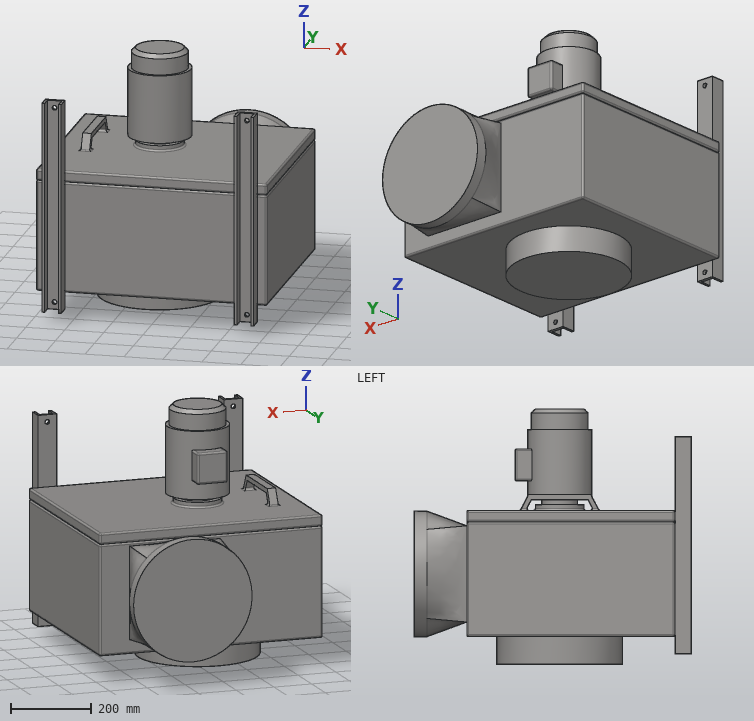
import cadquery as cq
import math

BOX_X = 592.0
BOX_Y = 520.0
BOX_Z = 315.0
BOX_LEFT = -248.5
BOX_FRONT = -288.0
LID_HEIGHT = 29.0
EDGE_RADIUS = 5.0

BOX_RIGHT = BOX_LEFT + BOX_X
BOX_BACK = BOX_FRONT + BOX_Y
MID_X = (BOX_LEFT + BOX_RIGHT) / 2
MID_Y = (BOX_FRONT + BOX_BACK) / 2

DUCT_RADIUS = 157.0
INLET_LENGTH = 69.0
OUTLET_X = 143.0
OUTLET_Z = 156.5
OUTLET_SQUARE = 240.0
TRANSITION_LENGTH = 99.5
OUTLET_LENGTH = 32.0

FLANGE_RADIUS = 61.0
FLANGE_TOP = 14.5
NECK_RADIUS = 45.0
NECK_TOP = 26.0
MOTOR_RADIUS = 80.0
MOTOR_TOP = 201.5
COWL_RADIUS = 71.0
COWL_TOP = 253.0
COWL_CHAMFER = 10.5

TERMINAL_SIZE = 80.0
TERMINAL_BACK = 111.5
TERMINAL_Z = BOX_Z + 113.5
TERMINAL_RADIUS = 5.0

HANDLE_X = -168.0
HANDLE_WIDTH = 22.0
HANDLE_HEIGHT = 40.0
HANDLE_BAR = 12.5
HANDLE_TOP_LENGTH = 155.0
HANDLE_FOOT_SPAN = 196.5

LID_JOINT_RADIUS = 5.0

RAIL_WIDTH = 50.0
RAIL_DEPTH = 41.0
RAIL_FLANGE = 7.0
RAIL_WEB = 9.0
RAIL_BOTTOM = -43.0
RAIL_LENGTH = 542.0
RAIL_INSET = 24.0
RAIL_HOLE_DIAMETER = 12.0
RAIL_HOLE_INSET = 19.0
RAIL_OFFSET = BOX_X / 2 - RAIL_INSET - RAIL_WIDTH / 2


def rounded_block(bottom, height):
    """Enclosure section with every edge rounded."""
    block = cq.Workplane("XY", origin=(MID_X, MID_Y, bottom)).box(
        BOX_X, BOX_Y, height, centered=(True, True, False)
    )
    return block.edges().fillet(EDGE_RADIUS)


def enclosure():
    """Box body with the lid resting on it, leaving a rounded seam between them."""
    body_height = BOX_Z - LID_HEIGHT
    return rounded_block(0, body_height).union(rounded_block(body_height, LID_HEIGHT))


def inlet():
    """Round spigot under the box, on the motor axis."""
    return cq.Workplane("XY").circle(DUCT_RADIUS).extrude(-INLET_LENGTH)


def quarter_arcs(radius):
    """Diagonal corners of a circle and the middle of each arc between them, in order."""
    diagonal = radius * math.sqrt(0.5)
    corners = [(-diagonal, -diagonal), (diagonal, -diagonal), (diagonal, diagonal), (-diagonal, diagonal)]
    middles = [(0, -radius), (radius, 0), (0, radius), (-radius, 0)]
    return corners, middles


def outlet():
    """Square-to-round transition followed by a round spigot on the back of the box."""
    def back_plane(y):
        return cq.Workplane("XZ", origin=(OUTLET_X, y, OUTLET_Z))

    round_y = BOX_BACK + TRANSITION_LENGTH
    square = back_plane(BOX_BACK).rect(OUTLET_SQUARE, OUTLET_SQUARE).val()
    corners, middles = quarter_arcs(DUCT_RADIUS)
    ring = back_plane(round_y).moveTo(*corners[0])
    for middle, corner in zip(middles, corners[1:] + corners[:1]):
        ring = ring.threePointArc(middle, corner)
    transition = cq.Solid.makeLoft([square, ring.wire().val()], True)
    spigot = back_plane(round_y).circle(DUCT_RADIUS).extrude(-OUTLET_LENGTH)
    return spigot.union(cq.Workplane(transition))


def motor():
    """Turned profile of flange, neck, motor body and chamfered cowl."""
    profile = [
        (0, 0),
        (FLANGE_RADIUS, 0),
        (FLANGE_RADIUS, FLANGE_TOP),
        (NECK_RADIUS, FLANGE_TOP),
        (NECK_RADIUS, NECK_TOP),
        (MOTOR_RADIUS, NECK_TOP),
        (MOTOR_RADIUS, MOTOR_TOP),
        (COWL_RADIUS, MOTOR_TOP),
        (COWL_RADIUS, COWL_TOP - COWL_CHAMFER),
        (COWL_RADIUS - COWL_CHAMFER, COWL_TOP),
        (0, COWL_TOP),
    ]
    section = cq.Workplane("XZ", origin=(0, 0, BOX_Z)).polyline(profile).close()
    return section.revolve(360, (0, 0, 0), (0, 1, 0))


def terminal_box():
    """Rounded block reaching from the motor axis out past the back of the motor."""
    block = cq.Workplane("XY", origin=(0, 0, TERMINAL_Z)).box(
        TERMINAL_SIZE, TERMINAL_BACK, TERMINAL_SIZE, centered=(True, False, True)
    )
    return block.edges("|Y or >Y").fillet(TERMINAL_RADIUS)


def handle():
    """Flat bar of even thickness bent down to the lid at both ends, its length along Y."""
    half_top = HANDLE_TOP_LENGTH / 2
    half_foot = HANDLE_FOOT_SPAN / 2
    bend = math.atan2(HANDLE_HEIGHT, half_foot - half_top)
    inner_foot = half_foot - HANDLE_BAR / math.sin(bend)
    inner_top = half_top - HANDLE_BAR * math.tan(bend / 2)
    inner_z = HANDLE_HEIGHT - HANDLE_BAR
    outline = [
        (-half_foot, 0),
        (-half_top, HANDLE_HEIGHT),
        (half_top, HANDLE_HEIGHT),
        (half_foot, 0),
        (inner_foot, 0),
        (inner_top, inner_z),
        (-inner_top, inner_z),
        (-inner_foot, 0),
    ]
    bar = cq.Workplane("YZ", origin=(HANDLE_X, 0, BOX_Z)).polyline(outline).close()
    return bar.extrude(HANDLE_WIDTH / 2, both=True)


def fillet_lid_joints(body):
    """Round the inside corners at the feet of the motor flange and the handle."""
    half_y = HANDLE_FOOT_SPAN / 2
    margin = LID_JOINT_RADIUS / 2
    joints = cq.selectors.BoxSelector(
        (HANDLE_X - HANDLE_WIDTH, -half_y - margin, BOX_Z - margin),
        (FLANGE_RADIUS, half_y + margin, BOX_Z + margin),
    )
    return body.edges(joints).fillet(LID_JOINT_RADIUS)


def rail(center_x):
    """Upright channel open to the front, with a mounting hole near each end of its web."""
    def block(width, depth, y_front):
        return cq.Workplane("XY", origin=(center_x, y_front, RAIL_BOTTOM)).box(
            width, depth, RAIL_LENGTH, centered=(True, False, False)
        )

    rail_front = BOX_FRONT - RAIL_DEPTH
    channel = block(RAIL_WIDTH, RAIL_DEPTH, rail_front).cut(
        block(RAIL_WIDTH - 2 * RAIL_FLANGE, RAIL_DEPTH - RAIL_WEB, rail_front)
    )
    hole_heights = [RAIL_BOTTOM + RAIL_HOLE_INSET, RAIL_BOTTOM + RAIL_LENGTH - RAIL_HOLE_INSET]
    holes = (
        cq.Workplane("XZ", origin=(center_x, BOX_FRONT, 0))
        .pushPoints([(0, z) for z in hole_heights])
        .circle(RAIL_HOLE_DIAMETER / 2)
        .extrude(RAIL_DEPTH)
    )
    return channel.cut(holes)


result = fillet_lid_joints(enclosure().union(motor()).union(handle()))
for feature in (inlet(), outlet(), terminal_box()):
    result = result.union(feature)
for side in (-1, 1):
    result = result.union(rail(MID_X + side * RAIL_OFFSET))